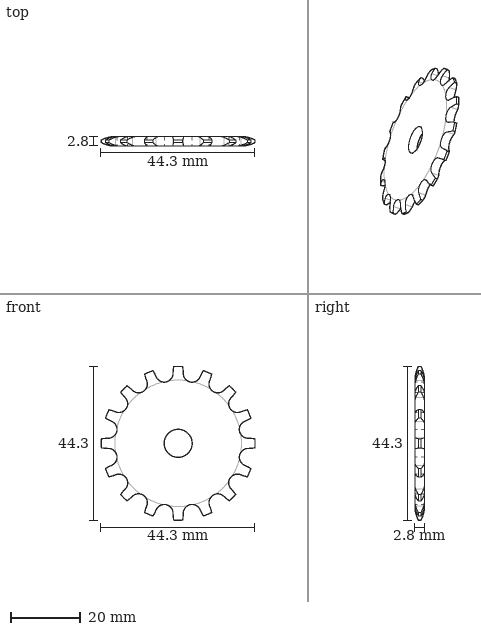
import cadquery as cq
import math

TOOTH_COUNT = 16
CHAIN_PITCH = 8.0
SEAT_RADIUS = 2.5
FLANK_RADIUS = 10.8
OUTER_RADIUS = 22.15
THICKNESS = 2.8
BORE_DIAMETER = 8.0
SIDE_ROUND_RADIUS = 8.0
FLAT_FACE_RADIUS = 18.2
CUT_CLEARANCE = 1.0

HALF_THICKNESS = THICKNESS / 2
TOOTH_ANGLE = 360.0 / TOOTH_COUNT
PITCH_RADIUS = CHAIN_PITCH / 2 / math.sin(math.radians(TOOTH_ANGLE / 2))


def crown_height(radius):
    """Half thickness of the blank at a radius beyond the flat face."""
    run = radius - FLAT_FACE_RADIUS
    return HALF_THICKNESS - SIDE_ROUND_RADIUS + math.sqrt(SIDE_ROUND_RADIUS**2 - run**2)


def make_blank():
    """Solid disc with both sides crowned toward a narrow cylindrical rim."""
    mid_radius = (FLAT_FACE_RADIUS + OUTER_RADIUS) / 2
    mid_height = crown_height(mid_radius)
    tip_height = crown_height(OUTER_RADIUS)
    profile = (
        cq.Workplane("XY")
        .moveTo(0, -HALF_THICKNESS)
        .lineTo(FLAT_FACE_RADIUS, -HALF_THICKNESS)
        .threePointArc((mid_radius, -mid_height), (OUTER_RADIUS, -tip_height))
        .lineTo(OUTER_RADIUS, tip_height)
        .threePointArc((mid_radius, mid_height), (FLAT_FACE_RADIUS, HALF_THICKNESS))
        .lineTo(0, HALF_THICKNESS)
        .close()
    )
    return profile.revolve(360, (0, 0, 0), (0, 1, 0))


def make_gap_cutter():
    """Gap centred on +Z: a round roller seat opening outward along two tangent convex flanks."""
    start_lean = math.radians(TOOTH_ANGLE / 2)
    seat_x = SEAT_RADIUS * math.cos(start_lean)
    seat_z = PITCH_RADIUS - SEAT_RADIUS * math.sin(start_lean)

    centre_x = seat_x + FLANK_RADIUS * math.cos(start_lean)
    centre_z = seat_z - FLANK_RADIUS * math.sin(start_lean)
    mouth_z = OUTER_RADIUS + CUT_CLEARANCE
    end_lean = math.asin((mouth_z - centre_z) / FLANK_RADIUS)
    mid_lean = (start_lean + end_lean) / 2
    mouth_x = centre_x - FLANK_RADIUS * math.cos(end_lean)
    mid_x = centre_x - FLANK_RADIUS * math.cos(mid_lean)
    mid_z = centre_z + FLANK_RADIUS * math.sin(mid_lean)

    return (
        cq.Workplane("XZ")
        .moveTo(-mouth_x, mouth_z)
        .threePointArc((-mid_x, mid_z), (-seat_x, seat_z))
        .threePointArc((0, PITCH_RADIUS - SEAT_RADIUS), (seat_x, seat_z))
        .threePointArc((mid_x, mid_z), (mouth_x, mouth_z))
        .close()
        .extrude(HALF_THICKNESS, both=True)
    )


def cut_gaps(body):
    """Cut the gaps so that a tooth points along +Z."""
    cutter = make_gap_cutter()
    for index in range(TOOTH_COUNT):
        angle = (index + 0.5) * TOOTH_ANGLE
        body = body.cut(cutter.rotate((0, 0, 0), (0, 1, 0), angle))
    return body


def cut_bore(body):
    """Plain through bore on the sprocket axis."""
    bore = cq.Workplane("XZ").circle(BORE_DIAMETER / 2).extrude(HALF_THICKNESS, both=True)
    return body.cut(bore)


result = cut_bore(cut_gaps(make_blank()))